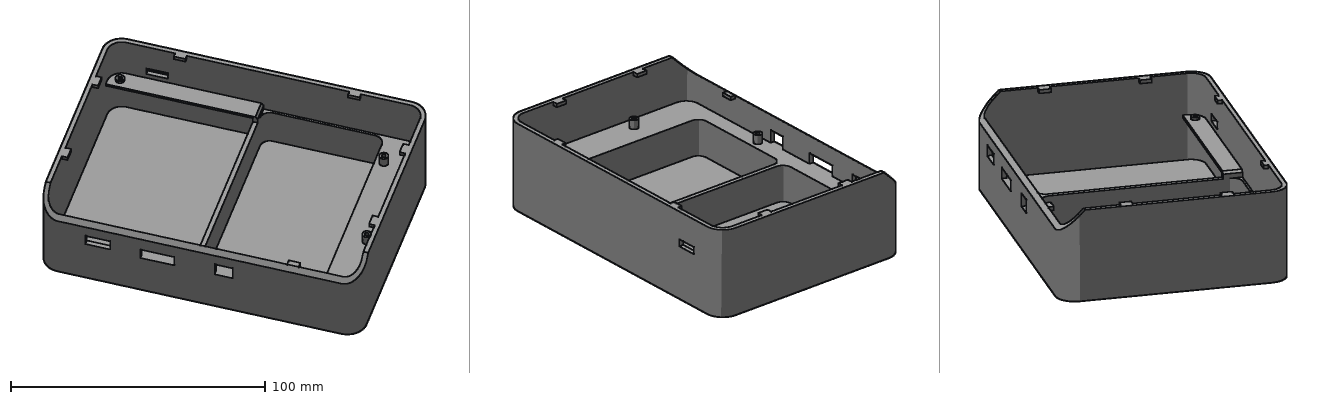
import cadquery as cq
LENGTH = 132.63
WIDTH = 93.98
HEIGHT = 38.5
CORNER_RADIUS = 8.0
WALL = 2.0
FRONT_BEVEL = 10.0
HALF_LENGTH = LENGTH / 2
HALF_WIDTH = WIDTH / 2
INNER_X = HALF_LENGTH - WALL
INNER_Y = HALF_WIDTH - WALL
INNER_RADIUS = CORNER_RADIUS - WALL

FLOOR_Z = 2.0
DECK_Z = 18.0
SHELF_THICKNESS = 1.0
SHELF_Z = 20.0
SHELF_TOP_Z = SHELF_Z + SHELF_THICKNESS

POCKET_RADIUS = 4.0
POCKET_FRONT_Y = -37.6
DIVIDER_LEFT_X = -3.8
DIVIDER_THICKNESS = 2.0
DIVIDER_RIGHT_X = DIVIDER_LEFT_X + DIVIDER_THICKNESS
RIGHT_POCKET_END_X = 48.3
RIGHT_POCKET_BACK_Y = 44.0

SHELF_FRONT_Y = 37.1
SHELF_BEVEL = 1.0

BOSS_DIAMETER = 3.6
BOSS_HOLE_DIAMETER = 1.6
BOSS_TOP_Z = 22.0
DECK_BOSSES = [(52.0, 30.7), (58.2, -12.2), (17.1, -41.4)]
SHELF_BOSS = (-59.6, 40.9)

TAB_LENGTH = 4.8
TAB_HEIGHT = 1.5
SIDE_TAB_REACH = 2.3
BACK_TAB_REACH = 1.8
FRONT_TAB_REACH = 2.3
SIDE_TAB_YS = (21.6, -19.4)
BACK_TAB_XS = (-35.8, 35.8)
FRONT_TAB_X = 37.8
FRONT_RIM_Z = HEIGHT - FRONT_BEVEL + WALL

FRONT_OPENINGS = [
    (-46.9, -36.8, 19.0, 23.6),
    (-24.3, -10.4, DECK_Z, 22.7),
    (6.2, 13.6, DECK_Z, 23.6),
]
BACK_OPENING = (-50.1, -41.2, 23.2, 26.3)


def block(x_span, y_span, z_span):
    """Axis-aligned box between the given limits."""
    spans = (x_span, y_span, z_span)
    sizes = [end - start for start, end in spans]
    corner = tuple(start for start, end in spans)
    return cq.Workplane("XY").box(*sizes, centered=False).translate(corner)


def inner_prism(bottom_z, top_z):
    """Rounded prism that follows the inside of the walls."""
    prism = block((-INNER_X, INNER_X), (-INNER_Y, INNER_Y), (bottom_z, top_z))
    return prism.edges("|Z").fillet(INNER_RADIUS)


def make_shell():
    """Case body filled up to the deck, with the front of the rim bevelled at 45 degrees."""
    body = block((-HALF_LENGTH, HALF_LENGTH), (-HALF_WIDTH, HALF_WIDTH), (0, HEIGHT))
    body = body.edges("|Z").fillet(CORNER_RADIUS)
    bevel = (
        cq.Workplane("YZ")
        .moveTo(-HALF_WIDTH, HEIGHT - FRONT_BEVEL)
        .lineTo(-HALF_WIDTH + FRONT_BEVEL, HEIGHT)
        .lineTo(-HALF_WIDTH, HEIGHT)
        .close()
        .extrude(HALF_LENGTH, both=True)
    )
    return body.cut(bevel).cut(inner_prism(DECK_Z, HEIGHT))


def make_left_pocket():
    """Pocket bounded by the left and back walls, rounded only at its front right corner."""
    pocket = block((-INNER_X, DIVIDER_LEFT_X), (POCKET_FRONT_Y, INNER_Y), (FLOOR_Z, DECK_Z))
    pocket = pocket.edges("|Z and >X and <Y").fillet(POCKET_RADIUS)
    return pocket.intersect(inner_prism(FLOOR_Z, DECK_Z))


def make_right_pocket():
    """Pocket with four rounded corners."""
    x_span = (DIVIDER_RIGHT_X, RIGHT_POCKET_END_X)
    y_span = (POCKET_FRONT_Y, RIGHT_POCKET_BACK_Y)
    return block(x_span, y_span, (FLOOR_Z, DECK_Z)).edges("|Z").fillet(POCKET_RADIUS)


def make_shelf():
    """Thin plate over the back of the left pocket, carried by a raised stretch of the divider."""
    y_span = (SHELF_FRONT_Y, INNER_Y)
    plate = block((-INNER_X, DIVIDER_LEFT_X), y_span, (SHELF_Z, SHELF_TOP_Z))
    plate = plate.intersect(inner_prism(SHELF_Z, SHELF_TOP_Z))
    support = block((DIVIDER_LEFT_X, DIVIDER_RIGHT_X), y_span, (DECK_Z, SHELF_TOP_Z))
    support = support.edges("|Y and >X and >Z").chamfer(SHELF_BEVEL)
    return support.union(plate).clean()


def make_boss(center, base_z):
    """Hollow post standing on the surface at base_z."""
    ring = cq.Workplane("XY", origin=(*center, base_z))
    ring = ring.circle(BOSS_DIAMETER / 2).circle(BOSS_HOLE_DIAMETER / 2)
    return ring.extrude(BOSS_TOP_Z - base_z)


def make_tabs():
    """Small blocks on the inside of the rim; all but the front one are rooted halfway into the wall."""
    root = WALL / 2
    half = TAB_LENGTH / 2
    rim_span = (HEIGHT - TAB_HEIGHT, HEIGHT)
    tabs = []
    for y in SIDE_TAB_YS:
        y_span = (y - half, y + half)
        tabs.append(block((-INNER_X - root, -INNER_X + SIDE_TAB_REACH), y_span, rim_span))
        tabs.append(block((INNER_X - SIDE_TAB_REACH, INNER_X + root), y_span, rim_span))
    for x in BACK_TAB_XS:
        tabs.append(block((x - half, x + half), (INNER_Y - BACK_TAB_REACH, INNER_Y + root), rim_span))
    front_x_span = (FRONT_TAB_X - half, FRONT_TAB_X + half)
    front_z_span = (FRONT_RIM_Z - TAB_HEIGHT, FRONT_RIM_Z)
    tabs.append(block(front_x_span, (-INNER_Y, -INNER_Y + FRONT_TAB_REACH), front_z_span))
    return tabs


def make_openings():
    """Rectangular cutters through the front and back walls."""
    cutters = []
    for x0, x1, z0, z1 in FRONT_OPENINGS:
        cutters.append(block((x0, x1), (-HALF_WIDTH, -INNER_Y), (z0, z1)))
    x0, x1, z0, z1 = BACK_OPENING
    cutters.append(block((x0, x1), (INNER_Y, HALF_WIDTH), (z0, z1)))
    return cutters


case = make_shell()
case = case.cut(make_left_pocket())
case = case.cut(make_right_pocket())
case = case.union(make_shelf())
for boss_center in DECK_BOSSES:
    case = case.union(make_boss(boss_center, DECK_Z))
case = case.union(make_boss(SHELF_BOSS, SHELF_TOP_Z))
for tab in make_tabs():
    case = case.union(tab)
for opening in make_openings():
    case = case.cut(opening)

result = case